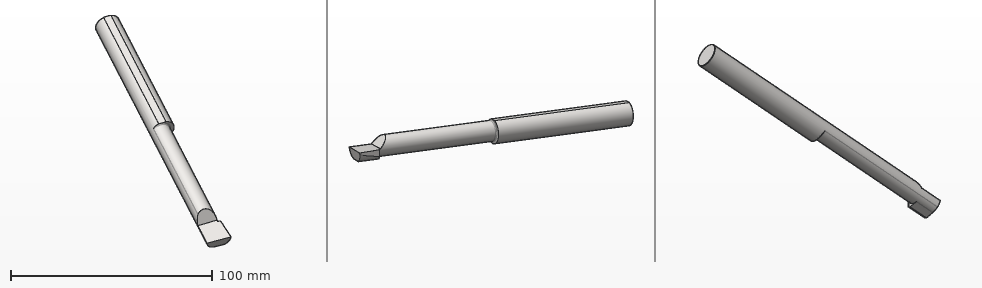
import cadquery as cq
import math

length = 152.4
shank_diameter = 12.6
shank_length = 75.1
flat_depth = 0.3
back_chamfer = 0.23

neck_radius = 5.3
neck_offset = -1.4
root_radius = 0.5

ramp_start = 134.7
rake_start = 139.6
rake_height = 0.0

head_start = 140.4
head_step_run = 0.5
head_shoulder_y = 5.3
front_clearance_angle = 8.0
end_face_skew = 0.5

shank_radius = shank_diameter / 2
neck_back_y = neck_offset + neck_radius


def make_shank():
    """Round shank with a narrow clamping flat along its top and a chamfered back end."""
    shank = cq.Workplane("YZ").circle(shank_radius).extrude(shank_length)
    shank = shank.faces("<X").chamfer(back_chamfer)
    flat_cutter = (
        cq.Workplane("XY")
        .workplane(offset=shank_radius - flat_depth)
        .rect(2 * length, shank_diameter)
        .extrude(shank_diameter)
    )
    return shank.cut(flat_cutter)


def make_neck():
    """Offset round neck with a root fillet, kept inside the shank diameter."""
    root_profile = (
        cq.Workplane("XZ")
        .moveTo(shank_length, 0)
        .lineTo(shank_length, neck_radius + root_radius)
        .radiusArc((shank_length + root_radius, neck_radius), -root_radius)
        .lineTo(length, neck_radius)
        .lineTo(length, 0)
        .close()
    )
    neck = root_profile.revolve(360, (0, 0, 0), (1, 0, 0)).translate((0, neck_offset, 0))
    envelope = cq.Workplane("YZ").circle(shank_radius).extrude(length)
    return neck.intersect(envelope)


def make_head():
    """Cutting head flaring out to the tip on the +Y side."""
    outline = (
        cq.Workplane("XY")
        .workplane(offset=-neck_radius)
        .polyline([
            (head_start, neck_offset),
            (head_start, neck_back_y),
            (head_start + head_step_run, head_shoulder_y),
            (length, shank_radius),
            (length, neck_offset),
        ])
        .close()
        .extrude(neck_radius + rake_height)
    )
    envelope = cq.Workplane("YZ").circle(shank_radius).extrude(length)
    return outline.intersect(envelope)


def make_rake_cutter():
    """Material above the ramp and the flat rake face."""
    ramp_slope = neck_radius / (rake_start - ramp_start)
    clear_height = shank_diameter
    clear_x = rake_start - (clear_height - rake_height) / ramp_slope
    return (
        cq.Workplane("XZ")
        .polyline([
            (rake_start, rake_height),
            (2 * length, rake_height),
            (2 * length, clear_height),
            (clear_x, clear_height),
        ])
        .close()
        .extrude(shank_diameter, both=True)
    )


def make_end_cutter():
    """Material beyond the skewed end face with front clearance."""
    skew_angle = math.degrees(math.atan(end_face_skew / shank_diameter))
    block = cq.Workplane("XY").box(
        length, 4 * shank_diameter, 4 * shank_diameter, centered=(False, True, True)
    )
    return (
        block
        .rotate((0, 0, 0), (0, 1, 0), front_clearance_angle)
        .rotate((0, 0, 0), (0, 0, 1), -skew_angle)
        .translate((length, shank_radius, rake_height))
    )


result = (
    make_shank()
    .union(make_neck())
    .union(make_head())
    .cut(make_rake_cutter())
    .cut(make_end_cutter())
)